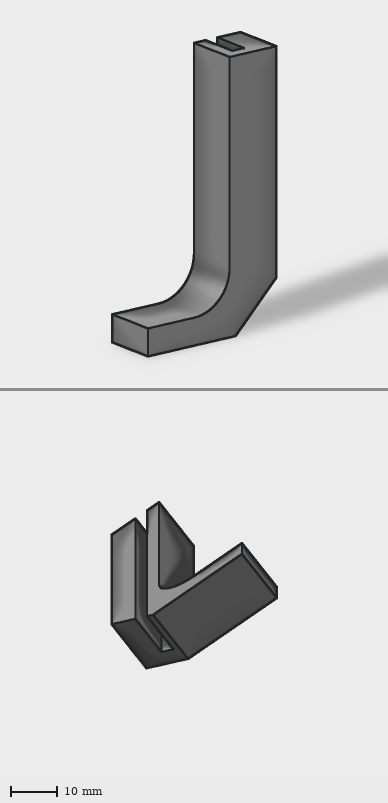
import cadquery as cq

width = 12.7
length = 34.9
height = 63.5

column_depth = 12.7
foot_thickness = 6.35
inner_radius = 9.5
heel_chamfer = 11.1

slot_width = 3.2
slot_depth = 9.5
back_wall = 6.35

column_front = length - column_depth


def bracket_body():
    """L-shaped bracket with its foot pointing toward -Y."""
    foot = cq.Workplane("XY").box(width, length, foot_thickness, centered=False)
    column = (
        cq.Workplane("XY")
        .box(width, column_depth, height, centered=False)
        .translate((0, column_front, 0))
    )
    inner_corner = cq.selectors.NearestToPointSelector((width / 2, column_front, foot_thickness))
    body = foot.union(column, clean=True)
    body = body.edges(inner_corner).fillet(inner_radius)
    return body.edges("|X and >Y and <Z").chamfer(heel_chamfer)


def slot_cutter():
    """Straight slot behind the front wall of the column."""
    slot_start = length - back_wall - slot_width
    return (
        cq.Workplane("XY")
        .box(slot_depth, slot_width, height, centered=False)
        .translate((0, slot_start, 0))
    )


result = bracket_body().cut(slot_cutter())